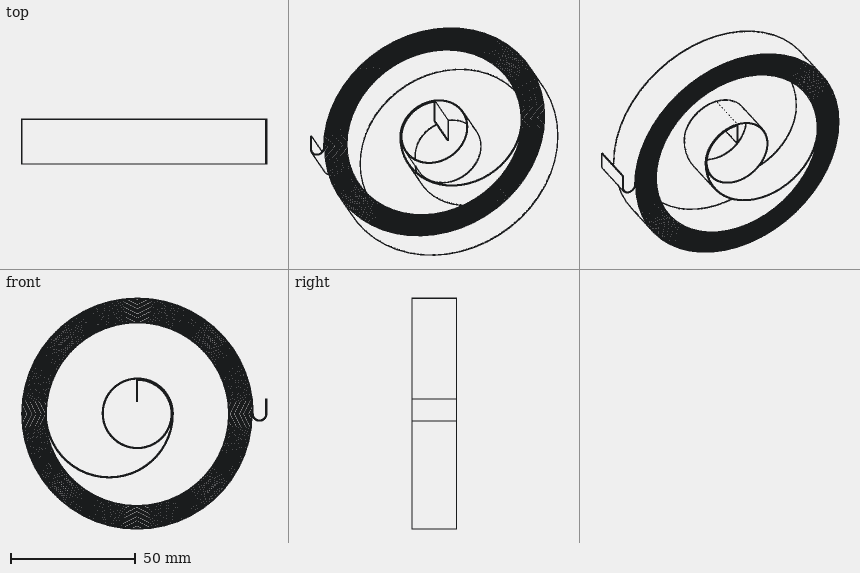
import cadquery as cq
import math


strip_width = 18.0
layer_pitch = 0.45
layer_clearance = 0.002
coil_inner_radius = 13.5
tab_length = 9.0
pack_outer_radius = 46.5
pack_upper_arcs = 22
hook_inner_radius = 2.5
hook_end_height = 6.0

strip_thickness = layer_pitch - layer_clearance
half_thickness = strip_thickness / 2
half_pitch = layer_pitch / 2

RIGHT = 0
TOP = 90
LEFT = 180
BOTTOM = 270
FULL_TURN = 360



def lower_half(center, radius, start, end):
    """A lower half turn, made of two quarter arcs that meet at the bottom."""
    return [(center, radius, start, BOTTOM), (center, radius, BOTTOM, end)]


def half_turn_between(x_start, x_end, start, end):
    """A lower half turn that joins two places on the horizontal centre line."""
    center = ((x_start + x_end) / 2, 0)
    return lower_half(center, abs(x_end - x_start) / 2, start, end)


def coil_arcs():
    """One turn from the tab, then a quarter turn that lies on top of the first layer."""
    first_radius = coil_inner_radius + half_pitch
    return [
        ((0, 0), first_radius, TOP, BOTTOM - FULL_TURN),
        ((0, half_pitch), first_radius + half_pitch, BOTTOM, TOP),
        ((0, 0), first_radius + layer_pitch, TOP, RIGHT),
    ]


def pack_arcs():
    """Half turns growing by half a pitch; the lower ones are centred half a pitch to the left."""
    outermost = pack_outer_radius - half_pitch
    innermost = outermost - (pack_upper_arcs - 1) * layer_pitch
    arcs = [((0, 0), innermost, LEFT, RIGHT)]
    for turn in range(1, pack_upper_arcs):
        radius = innermost + turn * layer_pitch
        arcs += lower_half((-half_pitch, 0), radius - half_pitch, FULL_TURN, LEFT)
        arcs.append(((0, 0), radius, LEFT, RIGHT))
    return arcs


def spring_path():
    """All arcs of the strip from the tab to the hook."""
    coil_end_x = coil_inner_radius + half_pitch + layer_pitch
    pack = pack_arcs()
    pack_start_x = -pack[0][1]
    pack_end_x = pack[-1][1]
    hook_end_x = pack_end_x + 2 * (hook_inner_radius + half_pitch)
    link = half_turn_between(coil_end_x, pack_start_x, FULL_TURN, LEFT)
    hook = half_turn_between(pack_end_x, hook_end_x, LEFT, FULL_TURN)
    return coil_arcs() + link + pack + hook


def edge_points(arc, side):
    """Start, middle and end of one strip edge; side is +1 left of travel, -1 right of it."""
    (x, z), path_radius, start, end = arc
    turn_sign = 1 if end < start else -1
    radius = path_radius + side * turn_sign * half_thickness
    points = []
    for angle in (start, (start + end) / 2, end):
        radians = math.radians(angle)
        points.append((x + radius * math.cos(radians), z + radius * math.sin(radians)))
    return points


def strip_profile():
    """Closed outline of the strip: out along its left edge and back along its right edge."""
    path = spring_path()
    left_edge = [edge_points(arc, 1) for arc in path]
    right_edge = [edge_points(arc, -1) for arc in path]

    coil_start = left_edge[0][0]
    outline = cq.Workplane("XZ", origin=(0, strip_width / 2, 0)).moveTo(*coil_start)
    for _, middle, end in left_edge:
        outline = outline.threePointArc(middle, end)

    hook_inner_x = left_edge[-1][-1][0]
    hook_outer = right_edge[-1][-1]
    outline = outline.lineTo(hook_inner_x, hook_end_height)
    outline = outline.lineTo(hook_outer[0], hook_end_height)
    outline = outline.lineTo(*hook_outer)
    for begin, middle, _ in reversed(right_edge):
        outline = outline.threePointArc(middle, begin)

    coil_outer_radius = coil_start[1]
    shoulder_height = math.sqrt(coil_outer_radius**2 - strip_thickness**2)
    tab_end_height = coil_outer_radius - tab_length
    outline = outline.lineTo(0, tab_end_height)
    outline = outline.lineTo(-strip_thickness, tab_end_height)
    outline = outline.lineTo(-strip_thickness, shoulder_height)
    return outline.close()


result = strip_profile().extrude(strip_width, clean=False)